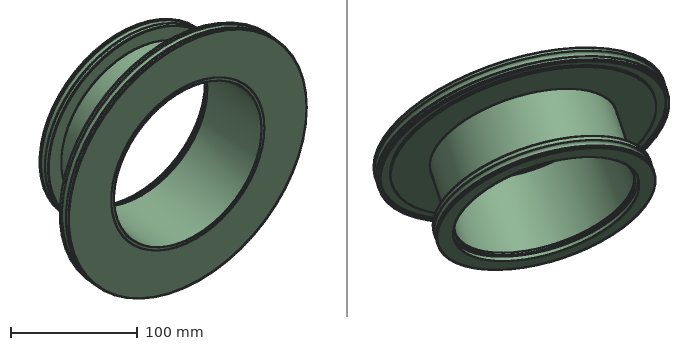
import cadquery as cq

TOTAL_LENGTH = 75.0
FLANGE_THICKNESS = 11.5
SMALL_FLANGE_DIAMETER = 180.0
LARGE_FLANGE_DIAMETER = 240.0
LARGE_FLANGE_START = TOTAL_LENGTH - FLANGE_THICKNESS

TUBE_OUTER_DIAMETER = 154.0
BORE_DIAMETER = 148.3
TUBE_START = 6.2

MOUTH_DIAMETER = 153.0
MOUTH_DEPTH = 4.0

RIM_CHAMFER = 0.35

GROOVE_BOTTOM_INSET = 5.0
GROOVE_RADIUS = GROOVE_BOTTOM_INSET / 2
SMALL_GROOVE_CENTER = 4.8
LARGE_GROOVE_CENTER = LARGE_FLANGE_START + FLANGE_THICKNESS / 2

RECESS_INNER_DIAMETER = 218.5
RECESS_OUTER_DIAMETER = 235.0
RECESS_DEPTH = 1.7


def disc(diameter, start, length):
    """Solid cylinder on the X axis, from X = start."""
    return cq.Workplane("YZ", origin=(start, 0, 0)).circle(diameter / 2).extrude(length)


def ring(outer_diameter, inner_diameter, start, length):
    """Hollow cylinder on the X axis, from X = start."""
    return disc(outer_diameter, start, length).cut(disc(inner_diameter, start, length))


def flange_blank(diameter, start):
    """Flange disc with both rim edges bevelled."""
    return disc(diameter, start, FLANGE_THICKNESS).edges("%CIRCLE").chamfer(RIM_CHAMFER)


def rim_groove(flange_diameter, center):
    """Torus that cuts a half-round groove into a flange rim."""
    return (
        cq.Workplane("XY")
        .center(center, flange_diameter / 2)
        .circle(GROOVE_RADIUS)
        .revolve(360, (-center, -flange_diameter / 2), (0, -flange_diameter / 2))
    )


def make_small_flange():
    """Flange with a lipped bore and a socket for the tube end."""
    flange = flange_blank(SMALL_FLANGE_DIAMETER, 0)
    bore = disc(BORE_DIAMETER, 0, FLANGE_THICKNESS)
    mouth = disc(MOUTH_DIAMETER, 0, MOUTH_DEPTH)
    socket = disc(TUBE_OUTER_DIAMETER, TUBE_START, FLANGE_THICKNESS - TUBE_START)
    groove = rim_groove(SMALL_FLANGE_DIAMETER, SMALL_GROOVE_CENTER)
    return flange.cut(bore).cut(mouth).cut(socket).cut(groove)


def make_tube():
    """Plain tube reaching from the small flange socket to the far face."""
    return ring(TUBE_OUTER_DIAMETER, BORE_DIAMETER, TUBE_START, TOTAL_LENGTH - TUBE_START)


def make_large_flange():
    """Flange fitted around the far end of the tube."""
    flange = flange_blank(LARGE_FLANGE_DIAMETER, LARGE_FLANGE_START)
    seat = disc(TUBE_OUTER_DIAMETER, LARGE_FLANGE_START, FLANGE_THICKNESS)
    recess = ring(RECESS_OUTER_DIAMETER, RECESS_INNER_DIAMETER, LARGE_FLANGE_START, RECESS_DEPTH)
    groove = rim_groove(LARGE_FLANGE_DIAMETER, LARGE_GROOVE_CENTER)
    return flange.cut(seat).cut(recess).cut(groove)


small_flange = make_small_flange()
tube = make_tube()
large_flange = make_large_flange()

result = cq.Compound.makeCompound([small_flange.val(), tube.val(), large_flange.val()])